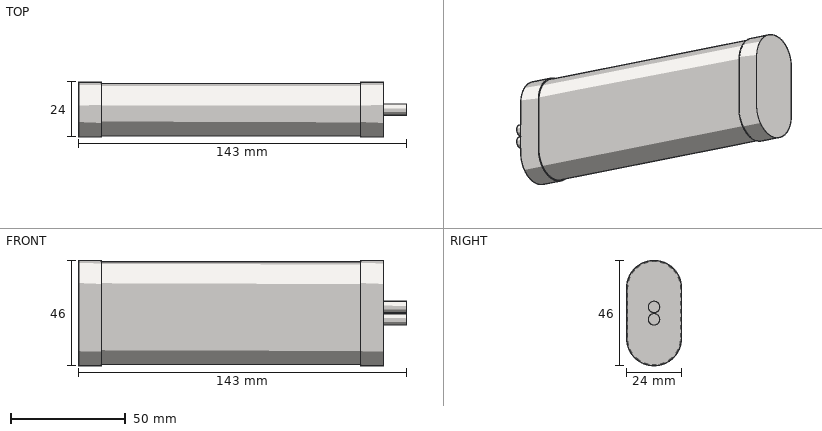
import cadquery as cq

tube_length = 113.0
cap_length = 10.0
cap_width = 24.0
cap_height = 46.0
cap_overhang = 0.5

terminal_diameter = 5.0
terminal_length = 10.0
terminal_spacing = 5.4

tube_width = cap_width - 2 * cap_overhang
tube_height = cap_height - 2 * cap_overhang

left_cap_start = 0.0
tube_start = left_cap_start + cap_length
right_cap_start = tube_start + tube_length
terminal_start = right_cap_start + cap_length


def make_stadium_bar(start_x, length, width, height):
    """Bar along +X with flat sides facing Y and full round ends facing Z."""
    return (
        cq.Workplane("YZ", origin=(start_x, 0, 0))
        .slot2D(height, width, angle=90)
        .extrude(length)
    )


def make_terminals():
    """Pair of round terminals, one above the other."""
    half_spacing = terminal_spacing / 2
    return (
        cq.Workplane("YZ", origin=(terminal_start, 0, 0))
        .pushPoints([(0, -half_spacing), (0, half_spacing)])
        .circle(terminal_diameter / 2)
        .extrude(terminal_length)
    )


tube = make_stadium_bar(tube_start, tube_length, tube_width, tube_height)
left_cap = make_stadium_bar(left_cap_start, cap_length, cap_width, cap_height)
right_cap = make_stadium_bar(right_cap_start, cap_length, cap_width, cap_height)

result = tube.union(left_cap).union(right_cap).union(make_terminals())